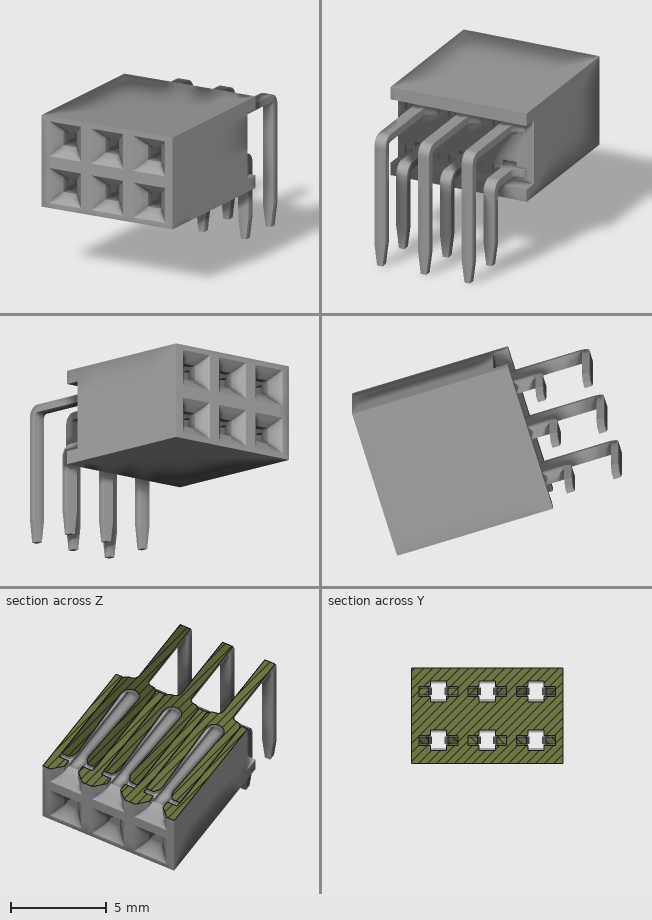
import cadquery as cq
import math


PITCH = 2.55
COLUMNS = 3
ROWS = 2

HOUSING_WIDTH = 7.93
HOUSING_DEPTH = 8.5
HOUSING_HEIGHT = 5.0
RECESS_DEPTH = 0.83
LIP_THICKNESS = 0.7
FUNNEL_MOUTH = 1.9
FUNNEL_DEPTH = 0.54
THROAT = 0.82
THROAT_LENGTH = 0.48
FORK_SLOT_CLEARANCE = 0.05

STRIP_THICKNESS = 0.4
LEG_WIDTH = 0.64
TOTAL_DEPTH = 12.6
TOTAL_HEIGHT = 8.3
BEND_OUTER_RADIUS = 0.6
TIP_WIDTH = LEG_WIDTH / 2
TIP_LENGTH = 1.25

SHOULDER_RADIUS = 0.34
SHOULDER_RUN_OUT = 0.16
FORK_BASE = 0.38
SLOT_RADIUS = 0.5
PINCH_HALF_GAP = LEG_WIDTH / 2
FLARE_RADIUS = 0.75
FLARE_LENGTH = 0.57
TIP_CLEARANCE = 0.25

COLUMN_XS = [(i - (COLUMNS - 1) / 2) * PITCH for i in range(COLUMNS)]
ROW_ZS = [HOUSING_HEIGHT / 2 + (j - (ROWS - 1) / 2) * PITCH for j in range(ROWS)]
RECESS_Y = HOUSING_DEPTH - RECESS_DEPTH
THROAT_END_Y = FUNNEL_DEPTH + THROAT_LENGTH
FORK_SLOT_HEIGHT = STRIP_THICKNESS + 2 * FORK_SLOT_CLEARANCE
CHAMBER_HEIGHT = 2 * (ROW_ZS[0] - LIP_THICKNESS)
BEND_INNER_RADIUS = BEND_OUTER_RADIUS - STRIP_THICKNESS
FORK_WIDTH = LEG_WIDTH + 4 * SHOULDER_RADIUS
LEG_TIP_Z = HOUSING_HEIGHT - TOTAL_HEIGHT
SHOULDER_Y = RECESS_Y + SHOULDER_RUN_OUT
LEG_START_Y = SHOULDER_Y + SHOULDER_RADIUS


def box(width, height, x, z, y_start, y_end):
    """Box centred on (x, z), running from y_start to y_end."""
    length = y_end - y_start
    return cq.Workplane("XY").box(width, length, height).translate((x, y_start + length / 2, z))


def make_funnel(x, z):
    """Square pyramid frustum that narrows from the mating face to the throat."""
    return (
        cq.Workplane("XZ", origin=(x, 0, z))
        .rect(FUNNEL_MOUTH, FUNNEL_MOUTH)
        .workplane(offset=-FUNNEL_DEPTH)
        .rect(THROAT, THROAT)
        .loft(combine=True)
    )


def make_housing():
    """Block with a channel across its back and one stepped socket per contact."""
    body = box(HOUSING_WIDTH, HOUSING_HEIGHT, 0, HOUSING_HEIGHT / 2, 0, HOUSING_DEPTH)
    recess_height = HOUSING_HEIGHT - 2 * LIP_THICKNESS
    body = body.cut(box(HOUSING_WIDTH, recess_height, 0, HOUSING_HEIGHT / 2, RECESS_Y, HOUSING_DEPTH))
    for x in COLUMN_XS:
        for z in ROW_ZS:
            body = body.cut(make_funnel(x, z))
            body = body.cut(box(THROAT, THROAT, x, z, FUNNEL_DEPTH, THROAT_END_Y))
            body = body.cut(box(THROAT, CHAMBER_HEIGHT, x, z, THROAT_END_Y, RECESS_Y))
            body = body.cut(box(FORK_WIDTH, FORK_SLOT_HEIGHT, x, z, THROAT_END_Y, RECESS_Y))
    return body


def make_fork():
    """Flat fork centred on Z = 0, from the tine tips back to the narrow end of its shoulders."""
    half_leg = LEG_WIDTH / 2
    half_fork = FORK_WIDTH / 2
    diagonal = SHOULDER_RADIUS * math.sqrt(0.5)
    body_y = SHOULDER_Y - SHOULDER_RADIUS
    tip_y = THROAT_END_Y + TIP_CLEARANCE
    pinch_y = tip_y + FLARE_LENGTH
    slot_y = body_y - FORK_BASE
    slot_side_y = slot_y - SLOT_RADIUS

    def flare_half_gap(distance):
        """Half gap between the tines at a distance in front of the pinch."""
        return PINCH_HALF_GAP + FLARE_RADIUS - math.sqrt(FLARE_RADIUS**2 - distance**2)

    def shoulder_mid(centre_x, centre_y, sign_x, sign_y):
        """Middle point of a shoulder arc about the given centre."""
        return (centre_x + sign_x * diagonal, centre_y + sign_y * diagonal)

    half_outline = (
        cq.Workplane("XY", origin=(0, 0, -STRIP_THICKNESS / 2))
        .moveTo(0, LEG_START_Y)
        .lineTo(half_leg, LEG_START_Y)
        .threePointArc(
            shoulder_mid(half_leg + SHOULDER_RADIUS, LEG_START_Y, -1, -1),
            (half_leg + SHOULDER_RADIUS, SHOULDER_Y),
        )
        .threePointArc(
            shoulder_mid(half_leg + SHOULDER_RADIUS, body_y, 1, 1),
            (half_fork, body_y),
        )
        .lineTo(half_fork, tip_y)
        .lineTo(flare_half_gap(FLARE_LENGTH), tip_y)
        .threePointArc(
            (flare_half_gap(FLARE_LENGTH / 2), pinch_y - FLARE_LENGTH / 2),
            (PINCH_HALF_GAP, pinch_y),
        )
        .lineTo(SLOT_RADIUS, slot_side_y)
        .threePointArc(
            (SLOT_RADIUS * math.sqrt(0.5), slot_side_y + SLOT_RADIUS * math.sqrt(0.5)),
            (0, slot_y),
        )
        .close()
    )
    half = half_outline.extrude(STRIP_THICKNESS)
    return half.union(half.mirror("YZ"))


def make_leg(back_y, tip_z):
    """Strip from the fork back to back_y, bent down to a tapered tip at tip_z."""
    half_strip = STRIP_THICKNESS / 2
    strip = (
        cq.Workplane("YZ", origin=(-LEG_WIDTH / 2, 0, 0))
        .moveTo(LEG_START_Y, half_strip)
        .lineTo(back_y, half_strip)
        .lineTo(back_y, tip_z)
        .lineTo(back_y - STRIP_THICKNESS, tip_z)
        .lineTo(back_y - STRIP_THICKNESS, -half_strip)
        .lineTo(LEG_START_Y, -half_strip)
        .close()
        .extrude(LEG_WIDTH)
    )
    outer_corner = (0, back_y, half_strip)
    strip = strip.edges(cq.selectors.NearestToPointSelector(outer_corner)).fillet(BEND_OUTER_RADIUS)
    inner_corner = (0, back_y - STRIP_THICKNESS, -half_strip)
    strip = strip.edges(cq.selectors.NearestToPointSelector(inner_corner)).fillet(BEND_INNER_RADIUS)
    for side in (-1, 1):
        corner = (
            cq.Workplane("XZ", origin=(0, back_y, 0))
            .moveTo(side * LEG_WIDTH / 2, tip_z)
            .lineTo(side * TIP_WIDTH / 2, tip_z)
            .lineTo(side * LEG_WIDTH / 2, tip_z + TIP_LENGTH)
            .close()
            .extrude(STRIP_THICKNESS)
        )
        strip = strip.cut(corner)
    return strip


def make_contact(x, row):
    """Fork and bent leg as one strip; each higher row reaches one pitch further back."""
    z = ROW_ZS[row]
    back_y = TOTAL_DEPTH - (ROWS - 1 - row) * PITCH
    contact = make_fork().union(make_leg(back_y, LEG_TIP_Z - z))
    return contact.translate((x, 0, z))


housing = make_housing()
contacts = [make_contact(x, row) for x in COLUMN_XS for row in range(ROWS)]

result = cq.Compound.makeCompound([housing.val(), *[contact.val() for contact in contacts]])